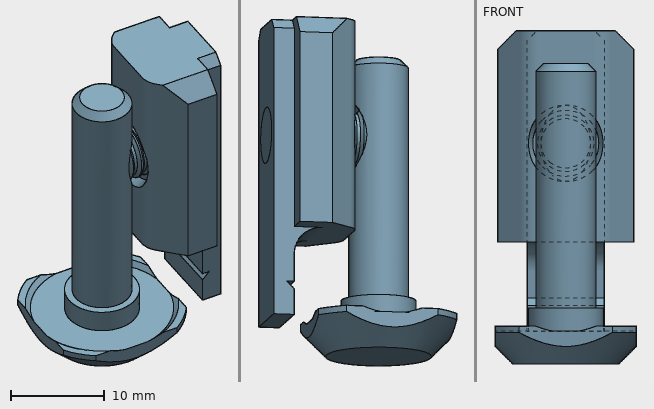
import cadquery as cq
import math

TOP_Z = 35.5
OVERALL_DEPTH = 19.7

HEAD_WIDTH = 15.0
HEAD_DIAMETER = 18.0
HEAD_HEIGHT = 4.05
HEAD_CONE_HEIGHT = 3.37
DISH_DEPTH = 0.55
DISH_FLOOR_RADIUS = 7.65
COLLAR_DIAMETER = 8.0
COLLAR_TOP_Z = 6.0
SHANK_DIAMETER = 6.4
SHANK_TOP_Z = 32.0
SHANK_END_CHAMFER = 0.8

SCREW_Z = 23.5
SCREW_DIAMETER = 6.0
THREAD_ROOT_DIAMETER = 5.25
THREAD_PITCH = 1.2
THREAD_ROOT_WIDTH = 0.35
THREAD_FLANK_WIDTH = 0.32
THREAD_GROOVES = 2
SEAT_DIAMETER = 8.05
RELIEF_DIAMETER = 8.15
RELIEF_FLOOR_DIAMETER = 7.03
RELIEF_DEPTH = 1.0

BLOCK_WIDTH = 14.5
BLOCK_HEIGHT = 22.5
BLOCK_SIDE_DEPTH = 3.5
BLOCK_EDGE_RADIUS = 2.5
BLOCK_TOP_CHAMFER = 2.0
TONGUE_WIDTH = 8.25
TONGUE_THICKNESS = 2.25
TONGUE_HEIGHT = 32.02
TONGUE_TOP_CHAMFER = 1.05
TONGUE_FILLET = 2.98
NOTCH_TOP_Z = 7.05
NOTCH_SIZE = 0.8

BACK_Y = OVERALL_DEPTH - HEAD_WIDTH / 2
SHANK_RADIUS = SHANK_DIAMETER / 2
SCREW_RADIUS = SCREW_DIAMETER / 2
SEAT_RADIUS = SEAT_DIAMETER / 2
BLOCK_FRONT_Y = SHANK_RADIUS
SEAT_APEX_Y = BLOCK_FRONT_Y - SEAT_RADIUS
POINT_BASE_Y = SEAT_APEX_Y + SCREW_RADIUS
TONGUE_FRONT_Y = BACK_Y - TONGUE_THICKNESS
BLOCK_BOTTOM_Z = TOP_Z - BLOCK_HEIGHT


def turned_about_y(profile):
    """Solid of revolution about the screw axis from (radius, y) points."""
    half_section = cq.Workplane("XY").polyline(profile).close()
    return half_section.revolve(360, (0, 0, 0), (0, 1, 0)).translate((0, 0, SCREW_Z))


def conical_seat():
    """The 90 degree cone shared by the seat in the shank and the screw point."""
    return turned_about_y([(0, SEAT_APEX_Y), (SEAT_RADIUS, BLOCK_FRONT_Y), (0, BLOCK_FRONT_Y)])


def make_bolt():
    """Bolt with a dished head cut to four flats, a collar and a shank with a conical seat."""
    head_radius = HEAD_DIAMETER / 2
    dish_floor_z = HEAD_HEIGHT - DISH_DEPTH
    collar_radius = COLLAR_DIAMETER / 2
    profile = [
        (0, 0),
        (head_radius - HEAD_CONE_HEIGHT, 0),
        (head_radius, HEAD_CONE_HEIGHT),
        (head_radius, HEAD_HEIGHT),
        (DISH_FLOOR_RADIUS + DISH_DEPTH, HEAD_HEIGHT),
        (DISH_FLOOR_RADIUS, dish_floor_z),
        (collar_radius, dish_floor_z),
        (collar_radius, COLLAR_TOP_Z),
        (SHANK_RADIUS, COLLAR_TOP_Z),
        (SHANK_RADIUS, SHANK_TOP_Z - SHANK_END_CHAMFER),
        (SHANK_RADIUS - SHANK_END_CHAMFER, SHANK_TOP_Z),
        (0, SHANK_TOP_Z),
    ]
    turned = cq.Workplane("XZ").polyline(profile).close().revolve(360, (0, 0, 0), (0, 1, 0))
    square = cq.Workplane("XY").rect(HEAD_WIDTH, HEAD_WIDTH).extrude(SHANK_TOP_Z)
    return turned.intersect(square).cut(conical_seat())


def make_block_body():
    """Prism with bevelled, rounded front edges and chamfered top corners."""
    half_width = BLOCK_WIDTH / 2
    bevel_start_y = TONGUE_FRONT_Y - BLOCK_SIDE_DEPTH
    front_half_width = half_width - (bevel_start_y - BLOCK_FRONT_Y)
    outline = [
        (-half_width, TONGUE_FRONT_Y),
        (-half_width, bevel_start_y),
        (-front_half_width, BLOCK_FRONT_Y),
        (front_half_width, BLOCK_FRONT_Y),
        (half_width, bevel_start_y),
        (half_width, TONGUE_FRONT_Y),
    ]
    prism = cq.Workplane("XY", origin=(0, 0, BLOCK_BOTTOM_Z)).polyline(outline).close().extrude(BLOCK_HEIGHT)
    rounded = prism.faces("<Y").edges("|Z").fillet(BLOCK_EDGE_RADIUS)
    depth = TONGUE_FRONT_Y - BLOCK_FRONT_Y
    envelope = (
        cq.Workplane("XY")
        .box(BLOCK_WIDTH, depth, BLOCK_HEIGHT, centered=(True, False, False))
        .translate((0, BLOCK_FRONT_Y, BLOCK_BOTTOM_Z))
        .edges("|Y and >Z")
        .chamfer(BLOCK_TOP_CHAMFER)
    )
    return rounded.intersect(envelope)


def make_tongue():
    """Flat tongue along the back, with a fillet under the block and a notch near its lower end."""
    bottom_z = TOP_Z - TONGUE_HEIGHT
    fillet_end_y = TONGUE_FRONT_Y - TONGUE_FILLET
    fillet_start_z = BLOCK_BOTTOM_Z - TONGUE_FILLET
    fillet_mid = TONGUE_FILLET * (1 - math.sqrt(0.5))
    side_profile = (
        cq.Workplane("YZ", origin=(-TONGUE_WIDTH / 2, 0, 0))
        .moveTo(BACK_Y, TOP_Z)
        .lineTo(BACK_Y, bottom_z)
        .lineTo(TONGUE_FRONT_Y, bottom_z)
        .lineTo(TONGUE_FRONT_Y, NOTCH_TOP_Z - NOTCH_SIZE)
        .lineTo(TONGUE_FRONT_Y + NOTCH_SIZE, NOTCH_TOP_Z)
        .lineTo(TONGUE_FRONT_Y, NOTCH_TOP_Z)
        .lineTo(TONGUE_FRONT_Y, fillet_start_z)
        .threePointArc(
            (TONGUE_FRONT_Y - fillet_mid, BLOCK_BOTTOM_Z - fillet_mid),
            (fillet_end_y, BLOCK_BOTTOM_Z),
        )
        .lineTo(TONGUE_FRONT_Y, BLOCK_BOTTOM_Z)
        .lineTo(TONGUE_FRONT_Y, TOP_Z)
        .close()
    )
    return side_profile.extrude(TONGUE_WIDTH).edges("|Y and >Z").chamfer(TONGUE_TOP_CHAMFER)


def make_screw_hole():
    """Through hole for the set screw, opening into a conical relief at the front of the block."""
    floor_y = BLOCK_FRONT_Y + RELIEF_DEPTH
    profile = [
        (0, BACK_Y),
        (SCREW_RADIUS, BACK_Y),
        (SCREW_RADIUS, floor_y),
        (RELIEF_FLOOR_DIAMETER / 2, floor_y),
        (RELIEF_DIAMETER / 2, BLOCK_FRONT_Y),
        (0, BLOCK_FRONT_Y),
    ]
    return turned_about_y(profile)


def make_slot_block():
    """Slot block: body and tongue in one piece, drilled for the set screw."""
    return make_block_body().union(make_tongue()).cut(make_screw_hole())


def thread_groove(start_y):
    """Ring cutter for one thread groove, starting at start_y and running towards the back."""
    root_radius = THREAD_ROOT_DIAMETER / 2
    root_start_y = start_y + THREAD_FLANK_WIDTH
    root_end_y = root_start_y + THREAD_ROOT_WIDTH
    return turned_about_y([
        (SCREW_RADIUS, start_y),
        (root_radius, root_start_y),
        (root_radius, root_end_y),
        (SCREW_RADIUS, root_end_y + THREAD_FLANK_WIDTH),
    ])


def make_set_screw():
    """Set screw with ring-shaped thread grooves and a 90 degree point seated in the shank."""
    screw = turned_about_y([
        (0, SEAT_APEX_Y),
        (SCREW_RADIUS, POINT_BASE_Y),
        (SCREW_RADIUS, BACK_Y),
        (0, BACK_Y),
    ])
    for index in range(THREAD_GROOVES):
        screw = screw.cut(thread_groove(POINT_BASE_Y + index * THREAD_PITCH))
    return screw


bolt = make_bolt().solids()
slot_block = make_slot_block().solids()
set_screw = make_set_screw().solids()

result = cq.Compound.makeCompound([bolt.val(), slot_block.val(), set_screw.val()])